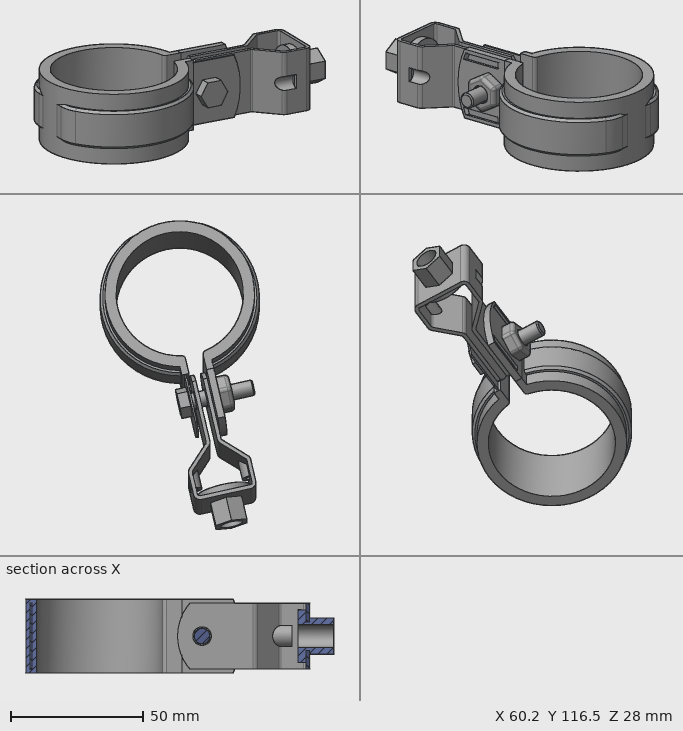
import cadquery as cq
import math


RING_INNER_R = 24.0
RING_OUTER_R = 28.25
RING_WIDTH = 28.0
CORNER_R = 1.5
BAND_R = 30.1
BAND_WIDTH = 15.0
BAND_CHAMFER = 1.0
BAND_FLAT = 27.7
BAND_BLEND_R = 14.0
FLANGE_INNER_X = 3.4
FLANGE_OUTER_X = 6.2
FLANGE_TOP_Y = 30.9
STRAP_THICK = 0.7
STRAP_WIDTH = 25.0
COVER_END_Y = 53.3
COVER_END_R = 33.0
COVER_LIP = 1.4
SLOT_INNER_Z = 9.75
SLOT_OUTER_Z = STRAP_WIDTH / 2
SLOT_START_Y = 34.0
SLOT_CORNER_R = 0.6
SLOT_END_INSET = 1.1
BOSS_FLATS = 13.0
BOSS_TOP_X = -11.4
BOSS_CORNER_R = 1.7
BOSS_EDGE_R = 1.6
BOSS_BORE_D = 7.0
BOLT_Y = 38.45
BOLT_D = 6.0
BOLT_TIP_D = 4.92
BOLT_LENGTH = 25.0
HEX_FLATS = 10.0
HEAD_HEIGHT = 4.0
NUT_HEIGHT = 5.0
BOLT_HOLE_D = 7.0
SHEET = 1.5
BRACKET_WIDTH = 25.0
BRACKET_HALF = 12.05
BRACKET_TOP_Y = 79.15
SHOULDER_Y = 67.2
LEG_OUTER_X = 2.9
LEG_END_Y = 29.2
LEG_END_R = 19.0
BEND_INNER_R = 1.0
GROOVE_D = 5.5
GROOVE_TOP_Y = 72.3
NECK_D = 10.5
INSERT_BORE_D = 8.5
DISC_D = 20.0
DISC_THICK = 3.0
INSERT_FLATS = 12.0
INSERT_HEX_LENGTH = 9.09

BEND_OUTER_R = BEND_INNER_R + SHEET
STRAP_MID_X = (FLANGE_INNER_X + FLANGE_OUTER_X) / 2
STRAP_INNER_X = STRAP_MID_X - STRAP_THICK / 2
STRAP_OUTER_X = STRAP_MID_X + STRAP_THICK / 2
STRAP_MID_R = (RING_INNER_R + RING_OUTER_R) / 2
STRAP_END_Y = COVER_END_Y - COVER_LIP
STRAP_END_R = COVER_END_R - COVER_LIP
BRACKET_INNER_Y = BRACKET_TOP_Y - SHEET
BULGE_D = GROOVE_D + 2 * SHEET
INSERT_END_Y = BRACKET_TOP_Y + INSERT_HEX_LENGTH
NUT_END_X = -STRAP_OUTER_X - NUT_HEIGHT


def slab(x0, x1, y0, y1, width):
    """Block between two X and two Y planes, centred on Z = 0."""
    return cq.Workplane("XY").box(x1 - x0, y1 - y0, width).translate(((x0 + x1) / 2, (y0 + y1) / 2, 0))


def disc(radius, width):
    """Cylinder about Z, centred on Z = 0."""
    return cq.Workplane("XY").circle(radius).extrude(width / 2, both=True)


def x_cylinder(diameter, x0, x1):
    """Cylinder on the bolt axis."""
    return cq.Workplane("YZ", origin=(x0, BOLT_Y, 0)).circle(diameter / 2).extrude(x1 - x0)


def y_cylinder(diameter, top_y, length, x=0):
    """Cylinder about a Y axis at the given X, running from top_y towards -Y."""
    return cq.Workplane("XZ", origin=(x, top_y, 0)).circle(diameter / 2).extrude(length)


def x_hexagon(flats, x0, x1, turn=0):
    """Hexagonal prism on the bolt axis; corners along +-Y, or along +-Z after a turn of 90 degrees."""
    corners = flats / math.cos(math.pi / 6)
    profile = cq.Workplane("YZ", origin=(x0, BOLT_Y, 0)).transformed(rotate=(0, 0, turn))
    return profile.polygon(6, corners).extrude(x1 - x0)


def arched_plate(x0, x1, width, start_y, crown_y, arch_r):
    """Plate normal to X whose end at crown_y is an arc; it runs straight to start_y."""
    half = width / 2
    direction = math.copysign(1, crown_y - start_y)
    shoulder_y = crown_y - direction * (arch_r - math.sqrt(arch_r**2 - half**2))
    return (
        cq.Workplane("YZ", origin=(x0, 0, 0))
        .moveTo(start_y, -half)
        .lineTo(shoulder_y, -half)
        .threePointArc((crown_y, 0), (shoulder_y, half))
        .lineTo(start_y, half)
        .close()
        .extrude(x1 - x0)
    )


def strap_shape():
    """Metal strap: a loop inside the ring with two straight ends beside the gap."""
    loop_inner_r = STRAP_MID_R - STRAP_THICK / 2
    loop_outer_r = STRAP_MID_R + STRAP_THICK / 2
    strap = disc(loop_outer_r, STRAP_WIDTH).cut(disc(loop_inner_r, STRAP_WIDTH))
    strap = strap.cut(slab(-STRAP_INNER_X, STRAP_INNER_X, 0, RING_OUTER_R, STRAP_WIDTH))
    foot_y = math.sqrt(loop_inner_r**2 - STRAP_OUTER_X**2)
    for x0 in (-STRAP_OUTER_X, STRAP_INNER_X):
        strap = strap.union(
            arched_plate(x0, x0 + STRAP_THICK, STRAP_WIDTH, foot_y, STRAP_END_Y, STRAP_END_R)
        )
    return strap.cut(x_cylinder(BOLT_HOLE_D, -FLANGE_OUTER_X, FLANGE_OUTER_X))


def band_shape():
    """Raised band: a disc with a blended flat on the -Y side and chamfered rims."""
    blend_x = math.sqrt((BAND_R - BAND_BLEND_R) ** 2 - (BAND_FLAT - BAND_BLEND_R) ** 2)
    scale = BAND_R / (BAND_R - BAND_BLEND_R)
    tangent_x = blend_x * scale
    tangent_y = -(BAND_FLAT - BAND_BLEND_R) * scale
    half_turn = math.atan2(blend_x, BAND_FLAT - BAND_BLEND_R) / 2
    mid_x = blend_x + BAND_BLEND_R * math.sin(half_turn)
    mid_y = -(BAND_FLAT - BAND_BLEND_R) - BAND_BLEND_R * math.cos(half_turn)
    return (
        cq.Workplane("XY")
        .moveTo(-blend_x, -BAND_FLAT)
        .lineTo(blend_x, -BAND_FLAT)
        .threePointArc((mid_x, mid_y), (tangent_x, tangent_y))
        .threePointArc((0, BAND_R), (-tangent_x, tangent_y))
        .threePointArc((-mid_x, mid_y), (-blend_x, -BAND_FLAT))
        .close()
        .extrude(BAND_WIDTH / 2, both=True)
        .faces("<Z or >Z")
        .edges()
        .chamfer(BAND_CHAMFER)
    )


def ring_shape(strap):
    """Soft ring with raised band and two flange stubs, with room for the strap."""
    gap_floor_y = RING_INNER_R / 2
    flanges = slab(-FLANGE_OUTER_X, FLANGE_OUTER_X, gap_floor_y, FLANGE_TOP_Y, RING_WIDTH)
    gap = slab(-FLANGE_INNER_X, FLANGE_INNER_X, gap_floor_y, FLANGE_TOP_Y, RING_WIDTH)
    ring = disc(RING_OUTER_R, RING_WIDTH).union(band_shape())
    ring = ring.cut(flanges).union(flanges)
    ring = ring.cut(disc(RING_INNER_R, RING_WIDTH)).cut(gap)
    corner_y = math.sqrt(RING_INNER_R**2 - FLANGE_INNER_X**2)
    for x in (-FLANGE_INNER_X, FLANGE_INNER_X):
        ring = ring.edges(cq.selectors.NearestToPointSelector((x, corner_y, 0))).fillet(CORNER_R)
    return ring.cut(strap)


def slot_shape():
    """Window in the cover down to the strap; its far end is a conical ramp parallel to the arched end."""
    depth = FLANGE_OUTER_X - STRAP_OUTER_X
    cone_r = COVER_END_R - SLOT_END_INSET - depth
    cone = (
        cq.Workplane("YZ", origin=(-STRAP_OUTER_X, COVER_END_Y - COVER_END_R, 0))
        .circle(cone_r)
        .workplane(offset=-depth)
        .circle(cone_r + depth)
        .loft(ruled=True)
    )
    window = (
        cq.Workplane("XY")
        .box(depth, COVER_END_Y - SLOT_START_Y, SLOT_OUTER_Z - SLOT_INNER_Z, centered=False)
        .translate((-FLANGE_OUTER_X, SLOT_START_Y, SLOT_INNER_Z))
        .edges("|X and <Y and <Z")
        .fillet(SLOT_CORNER_R)
    )
    return window.intersect(cone)


def boss_shape():
    """Rounded hexagonal housing around the nut."""
    boss = x_hexagon(BOSS_FLATS, BOSS_TOP_X, -FLANGE_OUTER_X, turn=90)
    return boss.edges("|X").fillet(BOSS_CORNER_R).faces("<X").edges().fillet(BOSS_EDGE_R)


def cover_shape(strap):
    """Cover over the left strap end, with nut housing and two slots."""
    cover = arched_plate(
        -FLANGE_OUTER_X, -FLANGE_INNER_X, RING_WIDTH, FLANGE_TOP_Y, COVER_END_Y, COVER_END_R
    )
    cover = cover.union(boss_shape())
    slot = slot_shape()
    cover = cover.cut(slot).cut(slot.mirror("XY"))
    cover = cover.cut(x_cylinder(BOSS_BORE_D, BOSS_TOP_X, -FLANGE_INNER_X))
    return cover.cut(strap).cut(x_hexagon(HEX_FLATS, NUT_END_X, -STRAP_OUTER_X, turn=90))


def bolt_shape():
    """M6 hexagon head bolt, head against the right strap end."""
    tip_x = STRAP_OUTER_X - BOLT_LENGTH
    shaft = x_cylinder(BOLT_D, tip_x, STRAP_OUTER_X)
    shaft = shaft.faces("<X").edges().chamfer((BOLT_D - BOLT_TIP_D) / 2)
    return shaft.union(x_hexagon(HEX_FLATS, STRAP_OUTER_X, STRAP_OUTER_X + HEAD_HEIGHT))


def nut_shape():
    """M6 nut held in the housing, resting on the left strap end."""
    nut = x_hexagon(HEX_FLATS, NUT_END_X, -STRAP_OUTER_X, turn=90)
    return nut.cut(x_cylinder(BOLT_D, NUT_END_X, -STRAP_OUTER_X))


def bottle_prism(half, top_y, shoulder_y, leg_x, shoulder_r, leg_r):
    """Symmetric prism: wide head, 45 degree flanks and a narrow neck running down past the leg ends."""
    neck_y = shoulder_y - (half - leg_x)
    right_side = [(half, top_y), (half, shoulder_y), (leg_x, neck_y), (leg_x, LEG_END_Y)]
    left_side = [(-x, y) for x, y in reversed(right_side)]
    prism = cq.Workplane("XY").polyline(right_side + left_side).close().extrude(BRACKET_WIDTH / 2, both=True)
    for (x, y), radius in zip(right_side, (shoulder_r, shoulder_r, leg_r)):
        for side in (-1, 1):
            corner = cq.selectors.NearestToPointSelector((side * x, y, 0))
            prism = prism.edges("|Z").edges(corner).fillet(radius)
    return prism


def bracket_shape():
    """Bent sheet bracket with a pressed half-round dent in each side wall."""
    outer = bottle_prism(BRACKET_HALF, BRACKET_TOP_Y, SHOULDER_Y, LEG_OUTER_X, BEND_OUTER_R, BEND_INNER_R)
    inner = bottle_prism(
        BRACKET_HALF - SHEET,
        BRACKET_INNER_Y,
        SHOULDER_Y + SHEET * math.tan(math.pi / 8),
        LEG_OUTER_X - SHEET,
        BEND_INNER_R,
        BEND_OUTER_R,
    )
    bracket = outer.cut(inner)
    dent_length = GROOVE_TOP_Y - SHOULDER_Y + BRACKET_HALF
    for side in (-1, 1):
        wall_x = side * BRACKET_HALF
        bulge = y_cylinder(BULGE_D, GROOVE_TOP_Y, dent_length, wall_x).intersect(outer)
        groove = y_cylinder(GROOVE_D, GROOVE_TOP_Y, dent_length, wall_x)
        bracket = bracket.union(bulge).cut(groove)
    side_outline = arched_plate(
        -BRACKET_HALF, BRACKET_HALF, BRACKET_WIDTH, BRACKET_TOP_Y, LEG_END_Y, LEG_END_R
    )
    bracket = bracket.intersect(side_outline)
    bracket = bracket.cut(x_cylinder(BOLT_HOLE_D, -LEG_OUTER_X, LEG_OUTER_X))
    return bracket.cut(y_cylinder(NECK_D, BRACKET_TOP_Y, SHEET))


def insert_shape(bracket):
    """Insert bored through: disc inside the bracket head, neck through the sheet, hexagon outside."""
    hexagon = (
        cq.Workplane("XZ", origin=(0, INSERT_END_Y, 0))
        .transformed(rotate=(0, 0, 90))
        .polygon(6, INSERT_FLATS / math.cos(math.pi / 6))
        .extrude(INSERT_HEX_LENGTH)
    )
    neck = y_cylinder(NECK_D, BRACKET_TOP_Y, SHEET)
    flange = y_cylinder(DISC_D, BRACKET_INNER_Y, DISC_THICK)
    bore = y_cylinder(INSERT_BORE_D, INSERT_END_Y, INSERT_HEX_LENGTH + SHEET + DISC_THICK)
    insert = hexagon.union(neck).union(flange).cut(bore)
    return insert.cut(bracket)


strap = strap_shape()
ring = ring_shape(strap)
nut = nut_shape()
cover = cover_shape(strap)
bolt = bolt_shape()
bracket = bracket_shape()
insert = insert_shape(bracket)

result = cq.Compound.makeCompound(
    [
        *ring.solids().vals(),
        *strap.solids().vals(),
        *cover.solids().vals(),
        *nut.solids().vals(),
        *bolt.solids().vals(),
        *bracket.solids().vals(),
        *insert.solids().vals(),
    ]
)